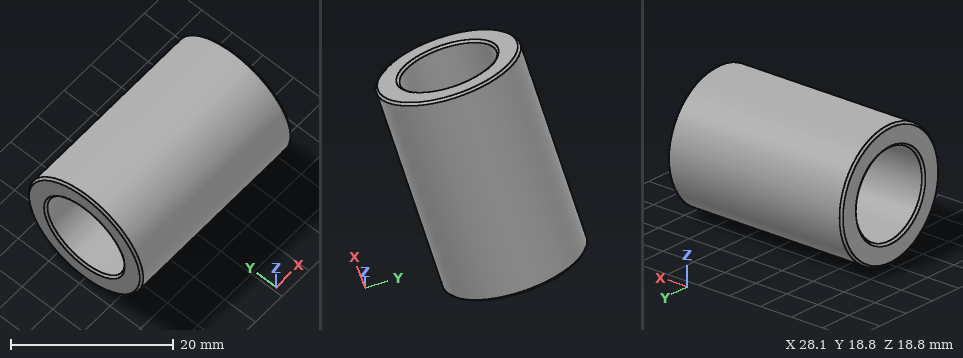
import cadquery as cq

length = 28.12
outer_diameter = 18.75
bore_diameter = 12.6
edge_chamfer = 0.3

sleeve = (
    cq.Workplane("YZ", origin=(-length / 2, 0, 0))
    .circle(outer_diameter / 2)
    .circle(bore_diameter / 2)
    .extrude(length)
)

result = sleeve.faces("<X or >X").edges().chamfer(edge_chamfer)